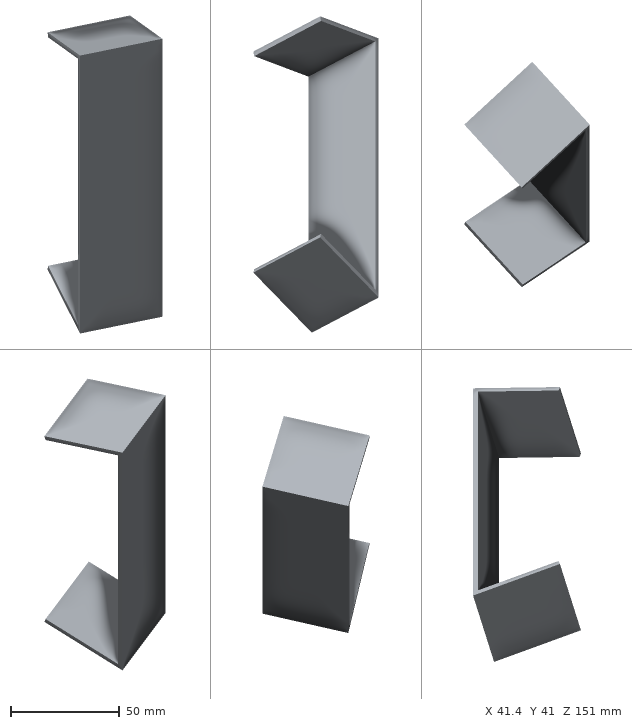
import cadquery as cq
import math

height = 151.0
depth = 41.4
width = 41.0
thickness = 2.4
lean_angle = 15.0

lean = math.radians(lean_angle)
half_height = height / 2

tip_step_x = thickness * math.sin(lean)
tip_step_z = thickness * math.cos(lean)
outer_tip_z = half_height - depth * math.tan(lean)
inner_tip_x = tip_step_x
inner_tip_z = outer_tip_z - tip_step_z

web_inner_x = depth - thickness
inner_corner_z = inner_tip_z + (web_inner_x - inner_tip_x) * math.tan(lean)

upper_half = [
    (depth, half_height),
    (0, outer_tip_z),
    (inner_tip_x, inner_tip_z),
    (web_inner_x, inner_corner_z),
]
lower_half = [(x, -z) for x, z in reversed(upper_half)]

result = (
    cq.Workplane("XZ")
    .polyline(upper_half + lower_half)
    .close()
    .extrude(width / 2, both=True)
)